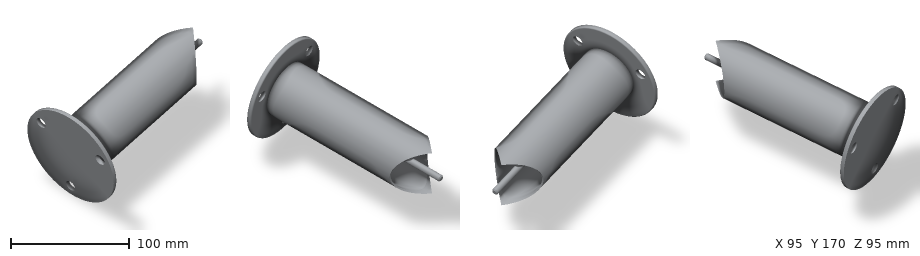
import cadquery as cq

plate_diameter = 95.0
plate_thickness = 4.0
plate_edge_radius = 1.0

hole_diameter = 10.0
hole_circle_radius = 37.4
hole_count = 3
first_hole_angle = -90

tube_outer_diameter = 50.8
tube_bore_diameter = 47.8
tube_tip = 160.0

rod_diameter = 6.0
rod_length = 170.0
rod_chamfer = 1.0


def cylinder(diameter, start, end):
    """Solid cylinder on the Y axis between two Y positions."""
    plane = cq.Workplane("XZ", origin=(0, start, 0))
    return plane.circle(diameter / 2).extrude(start - end)


def make_plate():
    """Round plate with a rounded back edge, mounting holes and a central hole for the rod."""
    disc = cylinder(plate_diameter, 0, plate_thickness)
    disc = disc.faces(">Y").edges().fillet(plate_edge_radius)
    disc = disc.cut(cylinder(rod_diameter, 0, plate_thickness))
    holes = (
        cq.Workplane("XZ")
        .polarArray(hole_circle_radius, first_hole_angle, 360, hole_count)
        .circle(hole_diameter / 2)
        .extrude(-plate_thickness)
    )
    return disc.cut(holes)


def make_tube():
    """Tube standing on the plate, its end cut to fit a crossing pipe of equal diameter."""
    blank = cylinder(tube_outer_diameter, plate_thickness, tube_tip)
    blank = blank.cut(cylinder(tube_bore_diameter, plate_thickness, tube_tip))
    crossing_pipe = (
        cq.Workplane("YZ", origin=(0, tube_tip, 0))
        .circle(tube_outer_diameter / 2)
        .extrude(tube_outer_diameter, both=True)
    )
    return blank.cut(crossing_pipe)


def make_rod():
    """Rod along the axis with a chamfered far end."""
    return cylinder(rod_diameter, 0, rod_length).faces(">Y").chamfer(rod_chamfer)


plate = make_plate().solids()
tube = make_tube().solids()
rod = make_rod().solids()

result = cq.Compound.makeCompound([plate.val(), tube.val(), rod.val()])